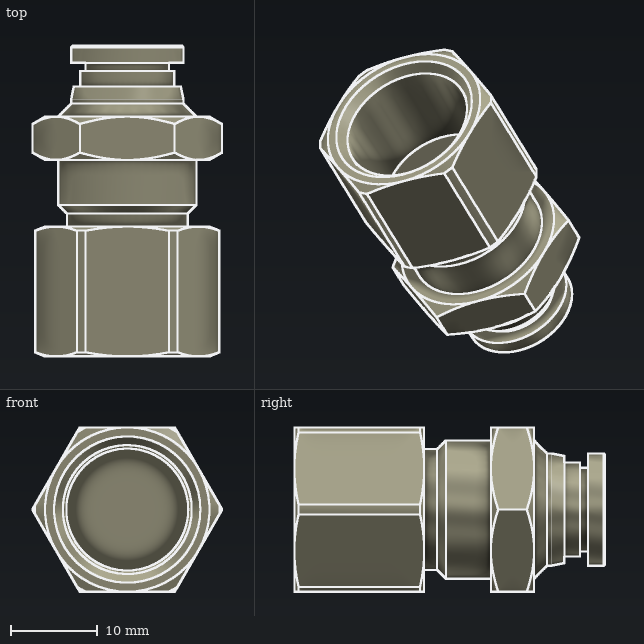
import cadquery as cq
import math


BODY_LENGTH = 15.0
NECK_LENGTH = 1.5
THREAD_RUN_OUT = 1.0
THREAD_LENGTH = 5.2
NUT_THICKNESS = 5.0
SHOULDER_LENGTH = 1.5
COLLAR_BAND = 0.5
COLLAR_TAPER = 1.5
SLEEVE_LENGTH = 1.8
GROOVE_WIDTH = 0.9
FLANGE_THICKNESS = 2.0
FLANGE_CHAMFER = 0.2

NECK_RADIUS = 7.0
THREAD_RADIUS = 8.0
COLLAR_RADIUS = 6.5
COLLAR_TIP_RADIUS = 6.2
SLEEVE_RADIUS = 5.45
GROOVE_RADIUS = 4.85
FLANGE_RADIUS = 6.5

ACROSS_FLATS = 19.0
ACROSS_CORNERS = ACROSS_FLATS / math.cos(math.radians(30))
BODY_CORNER_RADIUS = 10.65
BODY_CHAMFER_ANGLE = 22.5
NUT_CHAMFER_ANGLE = 30.0

BORE_MOUTH_RADIUS = 8.45
BORE_CHAMFER = 1.0
BORE_DEPTH = 12.0
BORE_FLOOR_RADIUS = 7.05

NECK_END = BODY_LENGTH + NECK_LENGTH
THREAD_START = NECK_END + THREAD_RUN_OUT
NUT_START = THREAD_START + THREAD_LENGTH
NUT_END = NUT_START + NUT_THICKNESS
SHOULDER_END = NUT_END + SHOULDER_LENGTH
BAND_END = SHOULDER_END + COLLAR_BAND
COLLAR_END = BAND_END + COLLAR_TAPER
SLEEVE_END = COLLAR_END + SLEEVE_LENGTH
GROOVE_END = SLEEVE_END + GROOVE_WIDTH
TUBE_END = GROOVE_END + FLANGE_THICKNESS


def revolve_about_y(points):
    """Turn a closed (radius, y) outline about the Y axis."""
    return cq.Workplane("XY").polyline(points).close().revolve(360, (0, 0, 0), (0, 1, 0))


def chamfered_hex(y_start, length, corner_radius, chamfer_angle):
    """Hexagon with flats facing +/-Z, its corners turned down and coned at both ends."""
    face_radius = ACROSS_FLATS / 2
    cone_length = (corner_radius - face_radius) * math.tan(math.radians(chamfer_angle))
    y_end = y_start + length
    prism = (
        cq.Workplane("XZ", origin=(0, y_start, 0))
        .polygon(6, ACROSS_CORNERS)
        .extrude(-length)
    )
    envelope = revolve_about_y([
        (0, y_start),
        (face_radius, y_start),
        (corner_radius, y_start + cone_length),
        (corner_radius, y_end - cone_length),
        (face_radius, y_end),
        (0, y_end),
    ])
    return prism.intersect(envelope)


def turned_stem():
    """Neck, thread, shoulder, collar, sleeve and release flange."""
    return revolve_about_y([
        (0, BODY_LENGTH),
        (NECK_RADIUS, BODY_LENGTH),
        (NECK_RADIUS, NECK_END),
        (THREAD_RADIUS, THREAD_START),
        (THREAD_RADIUS, NUT_END),
        (COLLAR_RADIUS, SHOULDER_END),
        (COLLAR_RADIUS, BAND_END),
        (COLLAR_TIP_RADIUS, COLLAR_END),
        (SLEEVE_RADIUS, COLLAR_END),
        (SLEEVE_RADIUS, SLEEVE_END),
        (GROOVE_RADIUS, SLEEVE_END),
        (GROOVE_RADIUS, GROOVE_END),
        (FLANGE_RADIUS, GROOVE_END),
        (FLANGE_RADIUS, TUBE_END - FLANGE_CHAMFER),
        (FLANGE_RADIUS - FLANGE_CHAMFER, TUBE_END),
        (0, TUBE_END),
    ])


def port_bore():
    """Blind tapered bore with a chamfered mouth."""
    return revolve_about_y([
        (0, 0),
        (BORE_MOUTH_RADIUS, 0),
        (BORE_MOUTH_RADIUS - BORE_CHAMFER, BORE_CHAMFER),
        (BORE_FLOOR_RADIUS, BORE_DEPTH),
        (0, BORE_DEPTH),
    ])


body = chamfered_hex(0, BODY_LENGTH, BODY_CORNER_RADIUS, BODY_CHAMFER_ANGLE)
nut = chamfered_hex(NUT_START, NUT_THICKNESS, ACROSS_CORNERS / 2, NUT_CHAMFER_ANGLE)

result = body.union(turned_stem()).union(nut).cut(port_bore())